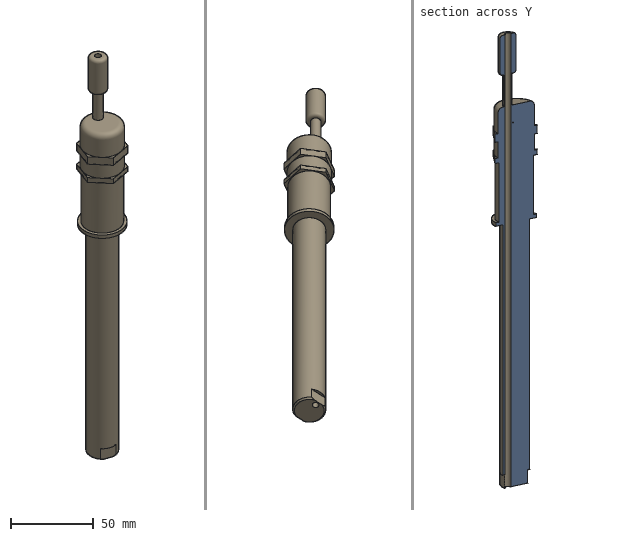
import cadquery as cq

tube_diameter = 20.0
tube_chamfer = 1.0
flat_width = 17.0
flat_height = 8.5

flange_bottom = 168.0
flange_diameter = 30.0
flange_thickness = 2.5
body_diameter = 26.0

hex_across_flats = 27.0
hex_turn = 30.0
lower_hex_bottom = 208.0
lower_hex_thickness = 3.5
upper_hex_bottom = 221.5
upper_hex_thickness = 5.5

cap_diameter = 27.0
cap_bottom = lower_hex_bottom + lower_hex_thickness
cap_top = 243.3
cap_fillet = 3.5

rod_x = -6.0
rod_diameter = 6.5
rod_length = 20.0
handle_diameter = 12.0
handle_length = 25.7
handle_fillet = 2.0
bore_diameter = 4.0

handle_bottom = cap_top + rod_length
overall_height = handle_bottom + handle_length


def cylinder(diameter, bottom, top, x=0.0):
    """Vertical cylinder between two heights."""
    return cq.Workplane("XY", origin=(x, 0, bottom)).circle(diameter / 2).extrude(top - bottom)


def hexagon(bottom, thickness):
    """Hexagonal plate with two corners on the X axis."""
    return (
        cq.Workplane("XY", origin=(0, 0, bottom))
        .polygon(6, hex_across_flats, circumscribed=True)
        .extrude(thickness)
        .rotate((0, 0, 0), (0, 0, 1), hex_turn)
    )


def lower_tube():
    """Tube with a chamfered lower end and two flats facing -X and +X."""
    tube = cylinder(tube_diameter, 0, flange_bottom).faces("<Z").edges().chamfer(tube_chamfer)
    lower_end = cylinder(tube_diameter, 0, flat_height)
    between_flats = cq.Workplane("XY").box(
        flat_width, tube_diameter, flat_height, centered=(True, True, False)
    )
    return tube.cut(lower_end.cut(between_flats))


def flange():
    """Thin round flange at the top of the lower tube."""
    return cylinder(flange_diameter, flange_bottom, flange_bottom + flange_thickness)


def cap():
    """Round cap with a rounded top rim."""
    return cylinder(cap_diameter, cap_bottom, cap_top).faces(">Z").edges().fillet(cap_fillet)


def handle():
    """Round handle with both ends rounded."""
    return cylinder(handle_diameter, handle_bottom, overall_height, rod_x).edges().fillet(handle_fillet)


body = cylinder(body_diameter, flange_bottom, cap_bottom)
rod = cylinder(rod_diameter, cap_top, handle_bottom, rod_x)
bore = cylinder(bore_diameter, 0, overall_height, rod_x)

result = (
    lower_tube()
    .union(flange())
    .union(body)
    .union(hexagon(lower_hex_bottom, lower_hex_thickness))
    .union(cap())
    .union(hexagon(upper_hex_bottom, upper_hex_thickness))
    .union(rod)
    .union(handle())
    .cut(bore)
)